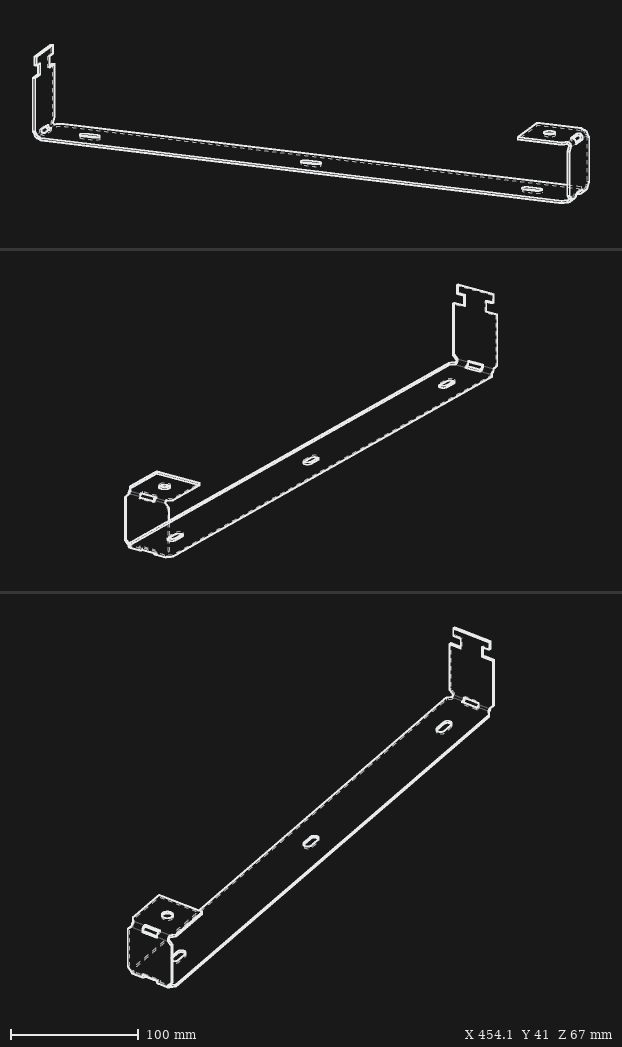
import cadquery as cq

thickness = 2.0
width = 41.0
length = 454.07
hook_height = 67.01
arm_height = 50.0
lip_length = 44.0
inner_radius = 1.5
outer_radius = inner_radius + thickness

left = -length / 2
right = length / 2
half_width = width / 2
clearance = 1.0

head_width = 34.0
head_depth = 7.2
neck_width = 20.0
neck_depth = 9.3

notch_reach = 6.8
notch_depth = 3.4
notch_chamfer = 3.4
window_width = 14.0
window_reach = 4.5

slot_length = 16.5
slot_width = 7.0
slot_count = 3
slot_pitch = 187.0
first_slot_x = left + 40.0
lip_hole_diameter = 9.0
lip_hole_x = right - 25.3


def folded_strip():
    """Hook flange, base, arm and lip folded from one strip of sheet."""
    arm_inside = right - thickness
    lip_underside = arm_height - thickness
    hook_inside = left + thickness
    lip_end = right - lip_length
    strip = (
        cq.Workplane("XZ")
        .moveTo(left, hook_height)
        .lineTo(left, 0)
        .lineTo(right, 0)
        .lineTo(right, arm_height)
        .lineTo(lip_end, arm_height)
        .lineTo(lip_end, lip_underside)
        .lineTo(arm_inside, lip_underside)
        .lineTo(arm_inside, thickness)
        .lineTo(hook_inside, thickness)
        .lineTo(hook_inside, hook_height)
        .close()
        .extrude(half_width, both=True)
    )
    outer_corners = [(left, 0), (right, 0), (right, arm_height)]
    inner_corners = [(hook_inside, thickness), (arm_inside, thickness), (arm_inside, lip_underside)]
    for corners, radius in ((outer_corners, outer_radius), (inner_corners, inner_radius)):
        for x, z in corners:
            corner_edge = cq.selectors.NearestToPointSelector((x, 0, z))
            strip = strip.edges(corner_edge).fillet(radius)
    return strip


def block(x_range, y_range, z_range):
    """Box spanning the given (low, high) range along each axis."""
    lows = (x_range[0], y_range[0], z_range[0])
    sizes = (x_range[1] - x_range[0], y_range[1] - y_range[0], z_range[1] - z_range[0])
    return cq.Workplane("XY").box(*sizes, centered=False).translate(lows)


def head_cutter():
    """Side cuts that leave a T-shaped head on the hook flange."""
    shoulder_z = hook_height - head_depth - neck_depth
    head_underside_z = hook_height - head_depth
    through = (left - clearance, left + thickness + clearance)
    outside = half_width + clearance
    neck_side = block(through, (neck_width / 2, outside), (shoulder_z, head_underside_z))
    head_side = block(through, (head_width / 2, outside), (shoulder_z, hook_height + clearance))
    one_side = neck_side.union(head_side)
    return one_side.union(one_side.mirror("XZ"))


def bend_relief_cutter():
    """Edge notches and centre window of a bend at the origin whose walls run along +X and +Z."""
    notch_inner_reach = notch_reach - notch_chamfer
    base_notch = (
        cq.Workplane("XY")
        .moveTo(-clearance, half_width + clearance)
        .lineTo(notch_reach, half_width + clearance)
        .lineTo(notch_reach, half_width)
        .lineTo(notch_inner_reach, half_width - notch_depth)
        .lineTo(-clearance, half_width - notch_depth)
        .close()
        .extrude(notch_inner_reach)
    )
    wall_notch = base_notch.rotate((0, 0, 0), (0, 1, 0), -90).translate((notch_inner_reach, 0, 0))
    notch = base_notch.union(wall_notch)
    window_span = (-clearance, window_reach)
    window = block(window_span, (-window_width / 2, window_width / 2), window_span)
    return notch.union(notch.mirror("XZ")).union(window)


def slot_cutter(x):
    """Obround slot through the base, lengthwise along X."""
    return cq.Workplane("XY").center(x, 0).slot2D(slot_length, slot_width).extrude(thickness)


def lip_hole_cutter():
    """Round hole through the lip."""
    lip_plane = cq.Workplane("XY", origin=(lip_hole_x, 0, arm_height - thickness))
    return lip_plane.circle(lip_hole_diameter / 2).extrude(thickness)


result = folded_strip().cut(head_cutter())

hook_relief = bend_relief_cutter()
arm_relief = hook_relief.mirror("YZ")
lip_relief = arm_relief.mirror("XY")
result = result.cut(hook_relief.translate((left, 0, 0)))
result = result.cut(arm_relief.translate((right, 0, 0)))
result = result.cut(lip_relief.translate((right, 0, arm_height)))

for index in range(slot_count):
    result = result.cut(slot_cutter(first_slot_x + index * slot_pitch))

result = result.cut(lip_hole_cutter())